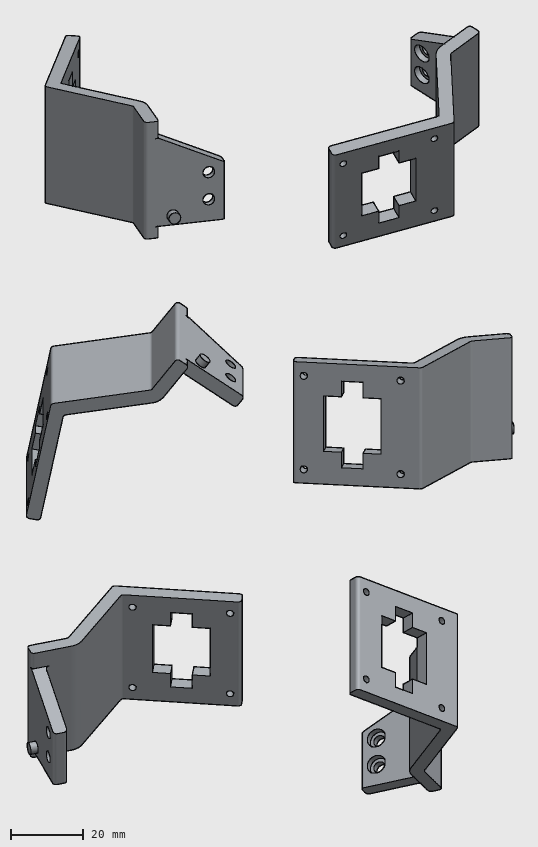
import cadquery as cq
import math

thickness = 4.0
strip_height = 35.0
edge_radius = 1.0
plate_tilt = 25.0
plate_length = 35.95
web_angle = 45.0
fold = (32.25, -0.2)
flange_front_y = 19.55
flange_end_x = 64.0

window_size = 16.0
notch_width = 6.0
notch_height = 25.0
window_from_fold = 19.35
screw_spacing = 27.0
screw_diameter = 2.0

tab_end_y = 42.55
tab_bottom_z = 3.45
tab_root_top_z = 29.9
tab_end_top_z = 20.55
bolt_y = 37.9
bolt_heights = (9.9, 18.05)
bolt_diameter = 3.3
counterbore_diameter = 5.4
counterbore_depth = 2.0

pin_diameter = 3.4
pin_length = 2.1
pin_y = 27.55
pin_z = 6.3

flange_back_y = flange_front_y + thickness
tab_inner_x = flange_end_x - thickness


def along(start, angle, distance):
    """Point reached from start by moving a distance in the given direction (degrees)."""
    direction = math.radians(angle)
    return (start[0] + distance * math.cos(direction), start[1] + distance * math.sin(direction))


def make_strip():
    plate_angle = 180 - plate_tilt
    fold_half_angle = (plate_angle - web_angle) / 2
    fold_diagonal = thickness / math.sin(math.radians(fold_half_angle))
    fold_back = along(fold, web_angle + fold_half_angle, fold_diagonal)

    bend = (fold[0] + (flange_front_y - fold[1]) / math.tan(math.radians(web_angle)), flange_front_y)
    bend_diagonal = thickness / math.cos(math.radians(web_angle / 2))
    bend_back = along(bend, 90 + web_angle / 2, bend_diagonal)

    plate_end = along(fold, plate_angle, plate_length)
    plate_end_back = along(plate_end, plate_angle - 90, thickness)
    outline = [
        fold,
        bend,
        (flange_end_x, flange_front_y),
        (flange_end_x, flange_back_y),
        bend_back,
        fold_back,
        plate_end_back,
        plate_end,
    ]
    strip = cq.Workplane("XY").polyline(outline).close().extrude(strip_height)

    bend_edge = cq.selectors.NearestToPointSelector((*bend_back, strip_height / 2))
    strip = strip.edges("|Z").edges(bend_edge).fillet(edge_radius + thickness)
    for corner in (fold, bend, fold_back, plate_end, plate_end_back, outline[2], outline[3]):
        corner_edge = cq.selectors.NearestToPointSelector((*corner, strip_height / 2))
        strip = strip.edges("|Z").edges(corner_edge).fillet(edge_radius)
    return strip


def make_plate_openings():
    center = along(fold, 180 - plate_tilt, window_from_fold)
    tilt = math.radians(plate_tilt)
    plane = cq.Plane(
        origin=(*center, strip_height / 2),
        xDir=(math.cos(tilt), -math.sin(tilt), 0),
        normal=(-math.sin(tilt), -math.cos(tilt), 0),
    )
    depth = 2 * thickness
    face = cq.Workplane(plane)
    window = face.rect(window_size, window_size).extrude(depth, both=True)
    notches = face.rect(notch_width, notch_height).extrude(depth, both=True)
    screws = (
        face.rect(screw_spacing, screw_spacing, forConstruction=True)
        .vertices()
        .circle(screw_diameter / 2)
        .extrude(depth, both=True)
    )
    return window.union(notches).union(screws)


def make_tab():
    root_y = flange_back_y - edge_radius
    plan = (
        cq.Workplane("XY")
        .moveTo(flange_end_x, root_y)
        .lineTo(flange_end_x, tab_end_y - edge_radius)
        .radiusArc((flange_end_x - edge_radius, tab_end_y), -edge_radius)
        .lineTo(tab_inner_x + edge_radius, tab_end_y)
        .radiusArc((tab_inner_x, tab_end_y - edge_radius), -edge_radius)
        .lineTo(tab_inner_x, flange_back_y + edge_radius)
        .radiusArc((tab_inner_x - edge_radius, flange_back_y), edge_radius)
        .lineTo(tab_inner_x - edge_radius, root_y)
        .close()
        .extrude(strip_height)
    )
    side_outline = [
        (root_y, tab_bottom_z),
        (tab_end_y, tab_bottom_z),
        (tab_end_y, tab_end_top_z),
        (flange_back_y, tab_root_top_z),
        (root_y, tab_root_top_z),
    ]
    side = cq.Workplane("YZ").polyline(side_outline).close().extrude(flange_end_x)
    return plan.intersect(side)


def make_bolt_holes():
    centers = [(bolt_y, z) for z in bolt_heights]
    face = cq.Workplane("YZ", origin=(tab_inner_x, 0, 0)).pushPoints(centers)
    through = face.circle(bolt_diameter / 2).extrude(thickness)
    counterbores = face.circle(counterbore_diameter / 2).extrude(counterbore_depth)
    return through.union(counterbores)


def make_pin():
    start_x = flange_end_x - thickness / 2
    face = cq.Workplane("YZ", origin=(start_x, pin_y, pin_z))
    return face.circle(pin_diameter / 2).extrude(thickness / 2 + pin_length)


strip = make_strip().cut(make_plate_openings())
tab = make_tab().cut(make_bolt_holes())
result = strip.union(tab).union(make_pin())